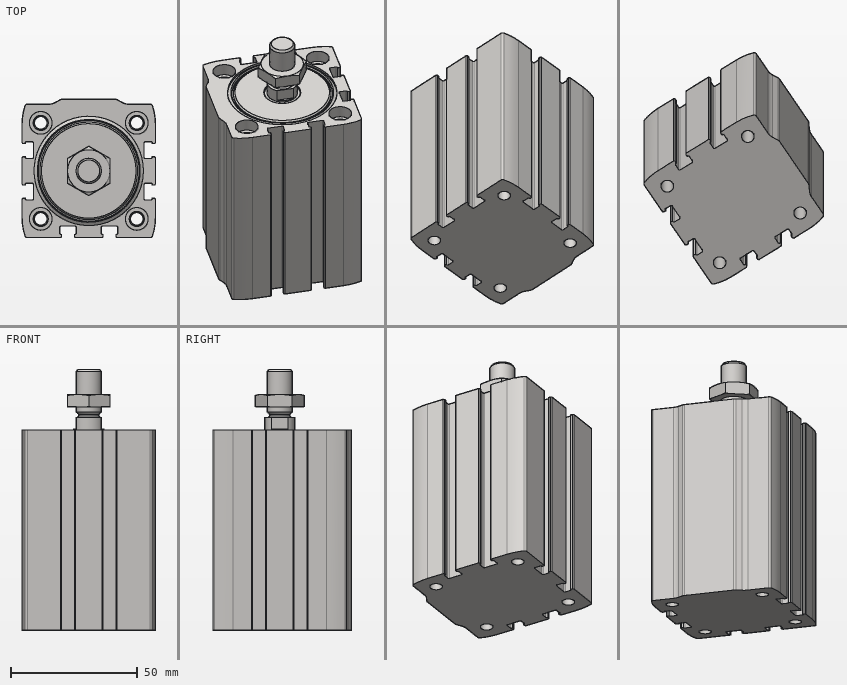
import cadquery as cq
import math

body_height = 79.5
half_width = 26.5
bump_y = 28.5
side_flat_half = 18.5
corner_x = 25.0
corner_radius = 1.0
bump_top_half = 10.9
bump_foot_half = 14.5
bump_foot_radius = 4.9
bump_top_radius = 2.1

slot_rib_width = 11.4
slot_mouth_width = 5.1
slot_cavity_width = 6.5
slot_depth = 4.6
slot_lip = 1.3
slot_mouth_chamfer = 0.4
slot_cavity_radius = 0.4
slot_offset = (slot_rib_width + slot_mouth_width) / 2

hole_offset = 19.0
hole_counterbore_diameter = 9.0
hole_counterbore_depth = 5.0
hole_diameter = 5.0
hole_chamfer_diameter = 6.0

ring_outer_diameter = 43.4
ring_crest_diameter = 40.8
ring_inner_diameter = 40.0
ring_depth = 0.9
ring_crest_drop = 0.1
ring_inner_drop = 0.7
cover_diameter = 38.7
cover_top_diameter = 37.5
cover_edge_drop = 0.6
cover_gap_depth = 1.0
rod_recess_top_diameter = 14.7
rod_recess_floor_diameter = 14.1
rod_recess_depth = 0.3

total_height = 103.5
rod_diameter = 12.0
rod_flat_width = 10.0
rod_flat_bottom_z = 79.8
rod_shoulder_z = 84.5
rod_depth = 10.4
thread_diameter = 10.0
tip_diameter = 8.7
tip_height = 0.9
neck_diameter = 8.1
neck_foot_diameter = 9.3
neck_bottom_z = 85.0
neck_top_z = 85.7
thread_bottom_z = 86.6

nut_flats = 17.0
nut_bottom_z = 88.6
nut_height = 5.0
nut_top_face_diameter = 16.8
nut_bottom_face_diameter = 18.4
nut_chamfer_angle = 18


def revolve_profile(points):
    """Solid of revolution about Z from (radius, z) points."""
    return cq.Workplane("XZ").polyline(points).close().revolve(360, (0, 0), (0, 1))


def housing_blank():
    """Housing outline with curved X sides and a raised strip on +Y, extruded to full height."""
    corner_dx = half_width - corner_x
    corner_dy = half_width - side_flat_half
    side_radius = (corner_dx**2 + corner_dy**2) / (2 * corner_dx)
    mid_y = side_flat_half + corner_dy / 2
    mid_x = half_width - side_radius + math.sqrt(side_radius**2 - (corner_dy / 2) ** 2)
    blank = (
        cq.Workplane("XY")
        .moveTo(-corner_x, -half_width)
        .lineTo(corner_x, -half_width)
        .threePointArc((mid_x, -mid_y), (half_width, -side_flat_half))
        .lineTo(half_width, side_flat_half)
        .threePointArc((mid_x, mid_y), (corner_x, half_width))
        .lineTo(bump_foot_half, half_width)
        .lineTo(bump_top_half, bump_y)
        .lineTo(-bump_top_half, bump_y)
        .lineTo(-bump_foot_half, half_width)
        .lineTo(-corner_x, half_width)
        .threePointArc((-mid_x, mid_y), (-half_width, side_flat_half))
        .lineTo(-half_width, -side_flat_half)
        .threePointArc((-mid_x, -mid_y), (-corner_x, -half_width))
        .close()
        .extrude(body_height)
    )

    def mirrored_edges(x, y):
        def at_corner(edge):
            center = edge.Center()
            return math.isclose(abs(center.x), x) and math.isclose(abs(center.y), y)

        return blank.edges("|Z").filter(at_corner)

    for x, y, radius in (
        (corner_x, half_width, corner_radius),
        (bump_foot_half, half_width, bump_foot_radius),
        (bump_top_half, bump_y, bump_top_radius),
    ):
        blank = mirrored_edges(x, y).fillet(radius)
    return blank


def slot_cutter():
    """T slot open towards -Y, centred on X = 0, mouth in the plane Y = -half_width."""
    mouth = slot_mouth_width / 2
    face = -half_width
    cavity_depth = slot_depth - slot_lip
    cavity = (
        cq.Workplane("XY")
        .center(0, face + slot_lip + cavity_depth / 2)
        .rect(slot_cavity_width, cavity_depth)
        .extrude(body_height)
        .edges("|Z")
        .fillet(slot_cavity_radius)
    )
    passage = (
        cq.Workplane("XY")
        .polyline([
            (-mouth - slot_mouth_chamfer, face),
            (-mouth, face + slot_mouth_chamfer),
            (-mouth, face + slot_depth / 2),
            (mouth, face + slot_depth / 2),
            (mouth, face + slot_mouth_chamfer),
            (mouth + slot_mouth_chamfer, face),
        ])
        .close()
        .extrude(body_height)
    )
    return cavity.union(passage)


def mounting_holes():
    """Four counterbored through holes, chamfered at the counterbore floor."""
    places = [(sx * hole_offset, sy * hole_offset) for sx in (-1, 1) for sy in (-1, 1)]
    floor_z = body_height - hole_counterbore_depth
    holes = cq.Workplane("XY").pushPoints(places).circle(hole_diameter / 2).extrude(body_height)
    chamfer = (hole_chamfer_diameter - hole_diameter) / 2
    cone = cq.Solid.makeCone(
        hole_diameter / 2, hole_chamfer_diameter / 2, chamfer, pnt=cq.Vector(0, 0, floor_z - chamfer)
    )
    chamfers = cq.Workplane("XY").pushPoints(places).eachpoint(lambda place: cone.moved(place))
    counterbores = (
        cq.Workplane("XY", origin=(0, 0, floor_z))
        .pushPoints(places)
        .circle(hole_counterbore_diameter / 2)
        .extrude(hole_counterbore_depth)
    )
    return holes.union(chamfers).union(counterbores)


def cover_grooves():
    """Ring groove around the cover face: a sloping outer floor, a crest and a narrow gap."""
    top = body_height
    return revolve_profile([
        (ring_outer_diameter / 2, top),
        (ring_outer_diameter / 2, top - ring_depth),
        (ring_crest_diameter / 2, top - ring_crest_drop),
        (ring_inner_diameter / 2, top - ring_inner_drop),
        (ring_inner_diameter / 2, top - cover_gap_depth),
        (cover_diameter / 2, top - cover_gap_depth),
        (cover_diameter / 2, top - cover_edge_drop),
        (cover_top_diameter / 2, top),
    ])


def rod_opening():
    """Blind hole for the rod with a shallow conical recess at the top."""
    top = body_height
    return revolve_profile([
        (0, top - rod_depth),
        (rod_diameter / 2, top - rod_depth),
        (rod_diameter / 2, top - rod_recess_depth),
        (rod_recess_floor_diameter / 2, top - rod_recess_depth),
        (rod_recess_top_diameter / 2, top),
        (0, top),
    ])


def make_rod():
    """Rod with wrench flats, a relief neck and a chamfered thread end."""
    bottom = body_height - rod_depth
    rod = revolve_profile([
        (0, bottom),
        (rod_diameter / 2, bottom),
        (rod_diameter / 2, rod_shoulder_z),
        (neck_foot_diameter / 2, rod_shoulder_z),
        (neck_diameter / 2, neck_bottom_z),
        (neck_diameter / 2, neck_top_z),
        (thread_diameter / 2, thread_bottom_z),
        (thread_diameter / 2, total_height - tip_height),
        (tip_diameter / 2, total_height),
        (0, total_height),
    ])
    flat_depth = (rod_diameter - rod_flat_width) / 2
    for side in (-1, 1):
        flat = (
            cq.Workplane("XY", origin=(side * (rod_flat_width + flat_depth) / 2, 0, rod_flat_bottom_z))
            .rect(flat_depth, rod_diameter)
            .extrude(rod_shoulder_z - rod_flat_bottom_z)
        )
        rod = rod.cut(flat)
    return rod


def make_nut():
    """Hexagon nut whose corners are turned off by cones, with two flats facing X."""
    corner = nut_flats / math.sqrt(3)
    top = nut_bottom_z + nut_height
    hexagon_turn = 30
    slope = math.tan(math.radians(nut_chamfer_angle))
    top_drop = (corner - nut_top_face_diameter / 2) * slope
    bottom_rise = (corner - nut_bottom_face_diameter / 2) * slope
    hexagon = (
        cq.Workplane("XY", origin=(0, 0, nut_bottom_z))
        .polygon(6, 2 * corner)
        .extrude(nut_height)
        .rotate((0, 0, 0), (0, 0, 1), hexagon_turn)
    )
    envelope = revolve_profile([
        (thread_diameter / 2, nut_bottom_z),
        (nut_bottom_face_diameter / 2, nut_bottom_z),
        (corner, nut_bottom_z + bottom_rise),
        (corner, top - top_drop),
        (nut_top_face_diameter / 2, top),
        (thread_diameter / 2, top),
    ])
    return hexagon.intersect(envelope)


def make_housing():
    """Housing with pairs of T slots on the -X, -Y and +X sides."""
    housing = housing_blank()
    for turn in (-90, 0, 90):
        for side in (-1, 1):
            slot = slot_cutter().translate((side * slot_offset, 0, 0))
            housing = housing.cut(slot.rotate((0, 0, 0), (0, 0, 1), turn))
    housing = housing.cut(mounting_holes()).cut(cover_grooves())
    return housing.cut(rod_opening())


housing = make_housing()
rod = make_rod()
nut = make_nut()

result = cq.Compound.makeCompound([housing.val(), rod.val(), nut.val()])